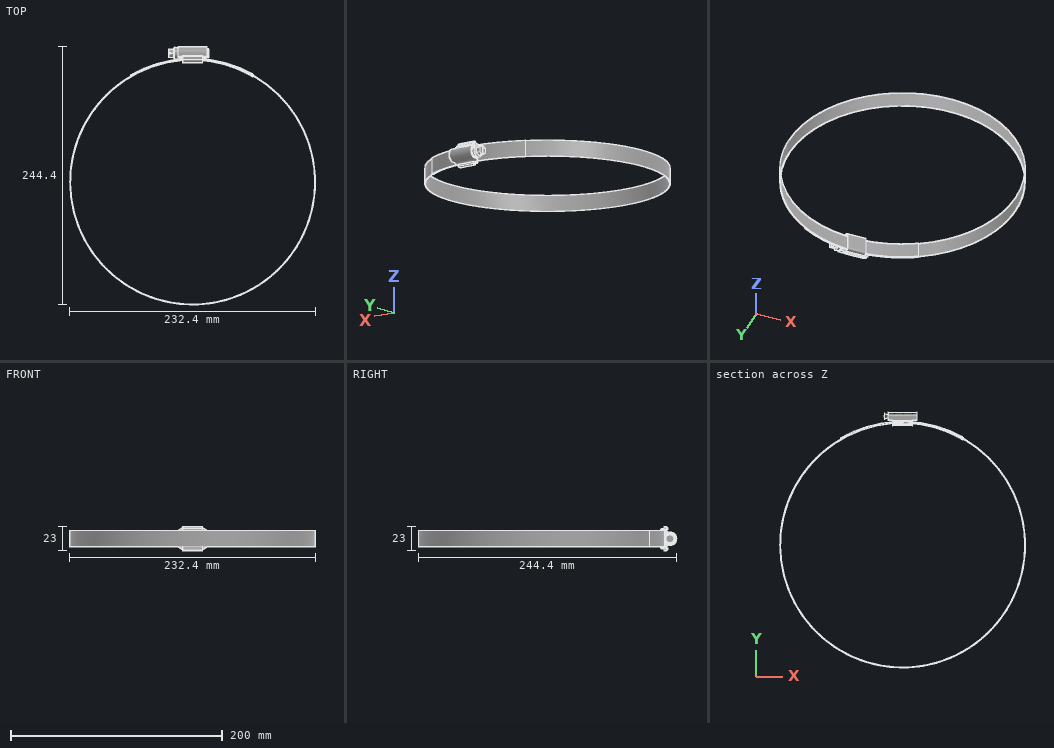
import cadquery as cq
import math


ring_outer_radius = 116.19
band_thickness = 0.8
band_width = 15.6
strand_gap = 0.05
ring_inner_radius = ring_outer_radius - band_thickness
tail_inner_radius = ring_outer_radius + strand_gap
inner_strand_inset = 0.65
tip_bend = 0.3
inset_radius = ring_inner_radius - inner_strand_inset
tip_radius = inset_radius - tip_bend
inner_end_angle = 29.9
tip_bend_start = 28.4
tip_bend_end = 29.2
inset_start_angle = 2.0
joggle_ring_angle = 30.4
joggle_tail_angle = 28.8
tail_end_angle = -30.0
full_turn = 360.0

screw_axis_y = 121.76
head_across_flats = 8.0
head_start_x = -22.8
flange_start_x = -18.3
neck_start_x = -17.2
head_collar_radius = head_across_flats / 2
flange_radius = 5.95
neck_radius = 5.8
neck_end_radius = 5.4
worm_radius = 4.6
tip_x = 15.3
tip_chamfer = 0.8
slot_width = 1.0
slot_depth = 2.2

housing_radius = 6.44
housing_wall = 1.2
housing_half_length = 13.6
foot_bottom_y = 117.9
foot_thickness = 0.9
foot_taper_start = 7.9
foot_edge_half_length = 10.0
foot_half_width = 10.3
foot_root_fillet = 1.4
foot_top_y = foot_bottom_y + foot_thickness

saddle_half_length = 9.4
saddle_half_width = 11.5
saddle_wall = 1.2
saddle_bottom_y = 112.8
saddle_side_half_width = 9.9
saddle_corner_radius = 2.2
hook_corner_radius = 1.9
hook_bottom_y = 116.1
hook_lip_thickness = 1.0
hook_top_y = foot_top_y + hook_lip_thickness
hook_lip_half_width = 8.2


def ring_point(radius, angle):
    return (radius * math.sin(math.radians(angle)), radius * math.cos(math.radians(angle)))


def make_band():
    """One strip that runs once round the ring and overlaps itself below the housing.

    Each run is an arc (inner-face start radius, end radius, start angle, end angle).
    Runs with a gap between them are joined by straight joggles.
    """
    inner_face = [
        (tip_radius, tip_radius, inner_end_angle, tip_bend_end),
        (inset_radius, ring_inner_radius, tip_bend_start, inset_start_angle),
        (ring_inner_radius, ring_inner_radius, inset_start_angle, -90.0),
        (ring_inner_radius, ring_inner_radius, -90.0, -270.0),
        (ring_inner_radius, ring_inner_radius, -270.0, joggle_ring_angle - full_turn),
        (tail_inner_radius, tail_inner_radius, joggle_tail_angle - full_turn, tail_end_angle - full_turn),
    ]
    outer_face = [
        (end_radius + band_thickness, start_radius + band_thickness, end, start)
        for start_radius, end_radius, start, end in reversed(inner_face)
    ]

    first_radius, _, first_angle, _ = inner_face[0]
    position = ring_point(first_radius, first_angle)
    outline = cq.Workplane("XY", origin=(0, 0, -band_width / 2)).moveTo(*position)
    for start_radius, end_radius, start, end in inner_face + outer_face:
        start_point = ring_point(start_radius, start)
        if math.dist(start_point, position) > strand_gap:
            outline = outline.lineTo(*start_point)
        middle = ring_point((start_radius + end_radius) / 2, (start + end) / 2)
        position = ring_point(end_radius, end)
        outline = outline.threePointArc(middle, position)
    return outline.close().extrude(band_width)


def make_screw():
    """Slotted hexagon head, flange, tapered neck and plain worm along X."""
    turned_profile = [
        (flange_start_x, 0),
        (flange_start_x, head_collar_radius),
        (neck_start_x, flange_radius),
        (neck_start_x, neck_radius),
        (-housing_half_length, neck_end_radius),
        (-housing_half_length, worm_radius),
        (tip_x - tip_chamfer, worm_radius),
        (tip_x, worm_radius - tip_chamfer),
        (tip_x, 0),
    ]
    shank = cq.Workplane("XZ").polyline(turned_profile).close().revolve(360, (0, 0, 0), (1, 0, 0))

    across_corners = head_across_flats / math.cos(math.radians(30))
    head = (
        cq.Workplane("YZ", origin=(head_start_x, 0, 0))
        .transformed(rotate=(0, 0, 90))
        .polygon(6, across_corners)
        .extrude(flange_start_x - head_start_x)
    )
    slot = cq.Workplane("XY").box(2 * slot_depth, slot_width, 2 * across_corners)
    head = head.cut(slot.translate((head_start_x, 0, 0)))
    return head.union(shank).translate((0, screw_axis_y, 0))


def make_housing():
    """Arched cover, open below, with a tapered foot along each side."""
    bore_radius = housing_radius - housing_wall

    def arch(radius):
        return (
            cq.Workplane("YZ", origin=(-housing_half_length, 0, 0))
            .moveTo(foot_bottom_y, -radius)
            .lineTo(screw_axis_y, -radius)
            .threePointArc((screw_axis_y + radius, 0), (screw_axis_y, radius))
            .lineTo(foot_bottom_y, radius)
            .close()
            .extrude(2 * housing_half_length)
        )

    foot_outline = [
        (-housing_half_length, 0),
        (-housing_half_length, foot_taper_start),
        (-foot_edge_half_length, foot_half_width),
        (foot_edge_half_length, foot_half_width),
        (housing_half_length, foot_taper_start),
        (housing_half_length, 0),
    ]
    foot = (
        cq.Workplane("XZ", origin=(0, foot_top_y, 0)).polyline(foot_outline).close().extrude(foot_thickness)
    )
    feet = foot.union(foot.mirror("XY"))
    cover = arch(housing_radius).union(feet)
    margin = foot_thickness / 2
    root_zone = cq.selectors.BoxSelector(
        (-housing_half_length, foot_top_y - margin, -housing_radius - margin),
        (housing_half_length, foot_top_y + margin, housing_radius + margin),
    )
    cover = cover.edges("|X").edges(root_zone).fillet(foot_root_fillet)
    return cover.cut(arch(bore_radius))


def make_saddle():
    """Tray under the band whose side walls hook round the feet of the housing."""
    length = 2 * saddle_half_length

    def block(bottom_y, top_y, half_width, block_length):
        return cq.Workplane("XY").box(block_length, top_y - bottom_y, 2 * half_width).translate(
            (0, (bottom_y + top_y) / 2, 0)
        )

    tray = block(saddle_bottom_y, foot_bottom_y, saddle_side_half_width, length)
    tray = tray.edges("|X and <Y").fillet(saddle_corner_radius)
    hooks = block(hook_bottom_y, hook_top_y, saddle_half_width, length)
    hooks = hooks.edges("|X and >Y").fillet(hook_corner_radius)

    tray_room = block(
        saddle_bottom_y + saddle_wall, hook_top_y, saddle_side_half_width - saddle_wall, 2 * length
    )
    tray_room = tray_room.edges("|X and <Y").fillet(saddle_corner_radius - saddle_wall)
    foot_room = block(foot_bottom_y, foot_top_y, foot_half_width, 2 * length)
    lip_room = block(foot_bottom_y, hook_top_y, hook_lip_half_width, 2 * length)
    return tray.union(hooks).cut(tray_room).cut(foot_room).cut(lip_room)


band = make_band()
screw = make_screw()
housing = make_housing()
saddle = make_saddle()

result = cq.Compound.makeCompound([band.val(), screw.val(), housing.val(), saddle.val()])